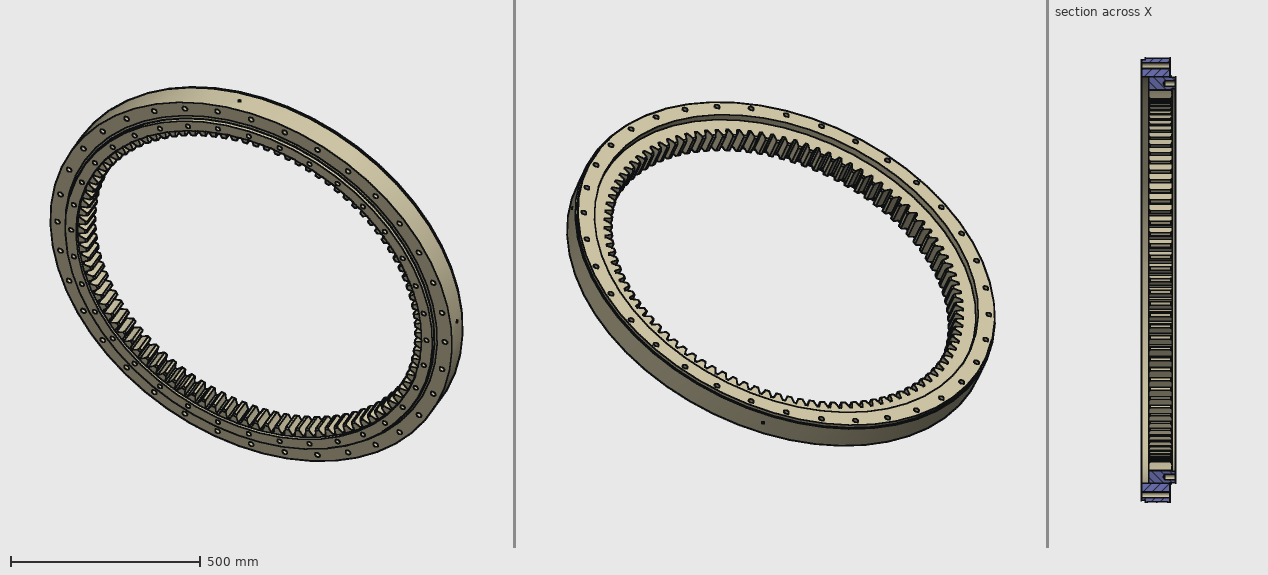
import cadquery as cq
import math


total_width = 90.0
inner_front = -total_width / 2
outer_back = total_width / 2
outer_front = -30.0
inner_back = 26.0
spigot_length = 10.2
teeth_recess = 9.0
teeth_front = inner_front + teeth_recess

outer_radius = 588.0
spigot_radius = 583.0
joint_radius = 537.0
inner_bore_radius = 505.0

tooth_count = 98
module = 10.0
pressure_angle = math.radians(20)
pitch_radius = tooth_count * module / 2
tip_radius = pitch_radius - module
root_depth_factor = 1.25
root_radius = pitch_radius + root_depth_factor * module
base_radius = pitch_radius * math.cos(pressure_angle)
tip_chamfer = 4.1
cut_overrun = 5.0

bolt_count = 36
outer_hole_diameter = 14.0
inner_hole_diameter = 13.0
outer_bolt_radius = 566.0
inner_bolt_radius = 519.0
inner_hole_depth = 28.0
drill_point_half_angle = math.radians(59)

grease_hole_count = 4
grease_hole_diameter = 7.0
grease_hole_y = 5.0
grease_hole_angle = 5

seal_base_radius = 544.0
seal_top_radius = 538.0
seal_height = 4.0


def ring(section):
    """Revolve a closed section of (y, radius) points around the Y axis."""
    return cq.Workplane("YZ").polyline(section).close().revolve(360, (0, 0), (1, 0))


def turned_copies(shape, count, first_angle):
    """Copies of a shape at even turns about the Y axis, the first one turned by first_angle degrees."""
    copies = []
    for i in range(count):
        angle = first_angle + i * 360 / count
        copies.append(shape.rotate(cq.Vector(0, 0, 0), cq.Vector(0, 1, 0), angle))
    return cq.Workplane(cq.Compound.makeCompound(copies))


def outer_bolt_holes():
    """Axial holes straight through the outer ring."""
    return (
        cq.Workplane("XZ", origin=(0, outer_front, 0))
        .polarArray(outer_bolt_radius, 0, 360, bolt_count)
        .circle(outer_hole_diameter / 2)
        .extrude(outer_front - outer_back)
    )


def inner_bolt_holes():
    """Blind axial holes with drill points, going in from the front of the inner ring."""
    radius = inner_hole_diameter / 2
    point_length = radius / math.tan(drill_point_half_angle)
    hole = (
        cq.Workplane("XY")
        .polyline([(0, 0), (radius, 0), (radius, inner_hole_depth), (0, inner_hole_depth + point_length)])
        .close()
        .revolve(360, (0, 0), (0, 1))
        .val()
    )
    hole = hole.translate(cq.Vector(inner_bolt_radius, inner_front, 0))
    return turned_copies(hole, bolt_count, 0)


def grease_holes():
    """Radial holes from the rim to the bore of the outer ring."""
    start_radius = joint_radius - cut_overrun
    hole = (
        cq.Workplane("YZ", origin=(start_radius, grease_hole_y, 0))
        .circle(grease_hole_diameter / 2)
        .extrude(outer_radius + cut_overrun - start_radius)
        .val()
    )
    return turned_copies(hole, grease_hole_count, -grease_hole_angle)


def involute(angle):
    """Polar angle of an involute where its pressure angle is the given one."""
    return math.tan(angle) - angle


def gap_flank_point(radius, side):
    """Point on an involute flank of the tooth gap that is centred on +X."""
    half_gap = (
        math.pi / (2 * tooth_count)
        + involute(pressure_angle)
        - involute(math.acos(base_radius / radius))
    )
    return (radius * math.cos(half_gap), side * radius * math.sin(half_gap))


def tooth_gaps():
    """The gaps between the gear teeth, one tooth centred on +X."""
    inside_radius = tip_radius - cut_overrun
    middle_radius = (inside_radius + root_radius) / 2
    gap = (
        cq.Workplane("XZ", origin=(0, inner_front, 0))
        .moveTo(*gap_flank_point(inside_radius, -1))
        .threePointArc(gap_flank_point(middle_radius, -1), gap_flank_point(root_radius, -1))
        .threePointArc((root_radius, 0), gap_flank_point(root_radius, 1))
        .threePointArc(gap_flank_point(middle_radius, 1), gap_flank_point(inside_radius, 1))
        .close()
        .extrude(-total_width)
        .val()
    )
    half_pitch = 180 / tooth_count
    return turned_copies(gap, tooth_count, half_pitch)


def make_outer_ring():
    spigot_start = outer_back - spigot_length
    body = ring(
        [
            (outer_front, joint_radius),
            (outer_front, outer_radius),
            (spigot_start, outer_radius),
            (spigot_start, spigot_radius),
            (outer_back, spigot_radius),
            (outer_back, joint_radius),
        ]
    )
    body = body.cut(outer_bolt_holes())
    return body.cut(grease_holes())


def make_inner_ring():
    body = ring(
        [
            (inner_front, inner_bore_radius),
            (inner_front, joint_radius),
            (inner_back, joint_radius),
            (inner_back, tip_radius + tip_chamfer),
            (inner_back - tip_chamfer, tip_radius),
            (teeth_front + tip_chamfer, tip_radius),
            (teeth_front, tip_radius + tip_chamfer),
            (teeth_front, inner_bore_radius),
        ]
    )
    body = body.cut(inner_bolt_holes())
    return body.cut(tooth_gaps())


def make_seal():
    return ring(
        [
            (outer_front, joint_radius),
            (outer_front, seal_base_radius),
            (outer_front - seal_height, seal_top_radius),
            (outer_front - seal_height, joint_radius),
        ]
    )


outer_ring = make_outer_ring()
inner_ring = make_inner_ring()
seal = make_seal()

result = cq.Compound.makeCompound([outer_ring.val(), inner_ring.val(), seal.val()])